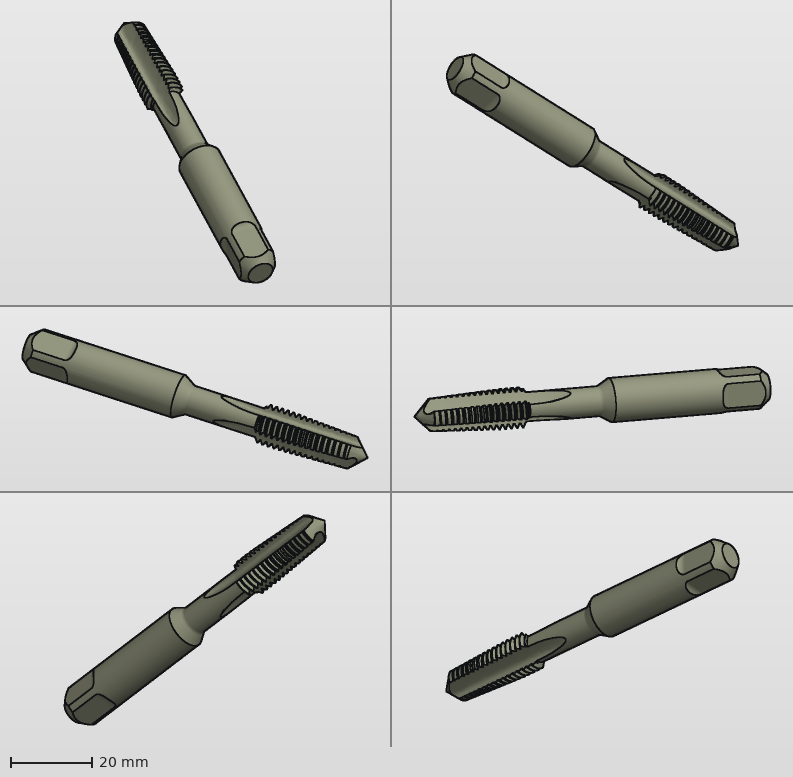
import cadquery as cq
import math

length = 90.0

point_radius = 4.1
lead_end = 22.05
thread_radius = 5.0
thread_end = 27.7
thread_back = 28.6

thread_root_radius = 4.05
three_pitches = 4.5
thread_pitch = three_pitches / 3
root_flat = 0.2
flank_angle = 30.0
groove_clearance = 0.2
groove_start = 3.9
groove_turn_count = 17
groove_start_angle = 132
groove_turn_angle = 325

neck_radius = 7.5 / 2
shank_radius = 11.0 / 2
neck_end = 47.0
shank_start = 49.95
neck_fillet = 1.1

square_side_count = 4
square_half = 4.5
square_start = 79.0
square_runout_radius = 2.2
end_chamfer_length = 2.8
end_chamfer_depth = 2.25

flute_count = 3
flute_wall_top = (1.1, 5.0)
flute_wall = [(0.45, 3.8), (-0.4, 2.7), (-1.4, 1.5)]
flute_floor = (-2.3, 1.2)
flute_heel = (-3.3, 1.8)
flute_heel_top = (-4.3, 3.6)
flute_height = 7.2
flute_straight_end = 29.9
flute_end = 39.0
flute_rise = 1.8
runout_overrun = 1.3

cutter_overrun = 0.9
search_half = 0.1


def make_blank():
    """Turned body with a 45 degree point, tapered lead, thread crest, neck and shank."""
    outline = [
        (0, 0),
        (point_radius, point_radius),
        (lead_end, thread_radius),
        (thread_end, thread_radius),
        (thread_back, neck_radius),
        (neck_end, neck_radius),
        (shank_start, shank_radius),
        (length - end_chamfer_length, shank_radius),
        (length, shank_radius - end_chamfer_depth),
        (length, 0),
    ]
    blank = cq.Workplane("XY").polyline(outline).close().revolve(360, (0, 0, 0), (1, 0, 0))
    neck_corner = cq.selectors.BoxSelector(
        (neck_end - search_half, -shank_radius, -shank_radius),
        (neck_end + search_half, shank_radius, shank_radius),
    )
    return blank.edges(neck_corner).fillet(neck_fillet)


def make_groove_turn():
    """One right-hand turn of the thread groove, beginning and ending inside a flute."""
    groove_top = thread_radius + groove_clearance
    half_root = root_flat / 2
    half_top = half_root + (groove_top - thread_root_radius) * math.tan(math.radians(flank_angle))
    helix = cq.Wire.makeHelix(
        thread_pitch, thread_pitch * groove_turn_angle / 360, thread_root_radius
    )
    groove = (
        cq.Workplane("XZ")
        .polyline([
            (thread_root_radius, -half_root),
            (groove_top, -half_top),
            (groove_top, half_top),
            (thread_root_radius, half_root),
        ])
        .close()
        .sweep(cq.Workplane(helix), isFrenet=True)
    )
    laid_along_x = groove.rotate((0, 0, 0), (0, 1, 0), 90)
    return laid_along_x.rotate((0, 0, 0), (1, 0, 0), groove_start_angle + 90)


def make_flute():
    """Flute with a smooth hooked section, rising out of the neck along an arc."""
    section = (
        cq.Workplane("YZ", origin=(-cutter_overrun, 0, 0))
        .moveTo(*flute_wall_top)
        .spline([*flute_wall, flute_floor, flute_heel, flute_heel_top], includeCurrent=True)
        .lineTo(flute_heel_top[0], flute_height)
        .lineTo(flute_wall_top[0], flute_height)
        .close()
    )
    run = flute_end - flute_straight_end
    runout_radius = (run ** 2 + flute_rise ** 2) / (2 * flute_rise)
    sweep_angle = runout_overrun * math.asin(run / runout_radius)
    floor_y, floor_z = flute_floor

    def on_runout(angle):
        return (
            flute_straight_end + runout_radius * math.sin(angle),
            floor_z + runout_radius * (1 - math.cos(angle)),
        )

    path = (
        cq.Workplane("XZ", origin=(0, floor_y, 0))
        .moveTo(-cutter_overrun, floor_z)
        .lineTo(flute_straight_end, floor_z)
        .threePointArc(on_runout(sweep_angle / 2), on_runout(sweep_angle))
    )
    return section.sweep(path)


def make_square_cutter():
    """Cutter for the +Z flat of the drive, with a rounded run-out at its front."""
    depth = shank_radius - square_half
    runout = math.sqrt(2 * square_runout_radius * depth - depth ** 2)
    half_runout = math.asin(runout / square_runout_radius) / 2
    runout_middle = (
        square_start - square_runout_radius * math.sin(half_runout),
        square_half + square_runout_radius * (1 - math.cos(half_runout)),
    )
    return (
        cq.Workplane("XZ")
        .moveTo(length + cutter_overrun, square_half)
        .lineTo(square_start, square_half)
        .threePointArc(runout_middle, (square_start - runout, shank_radius))
        .lineTo(square_start - runout, shank_radius + cutter_overrun)
        .lineTo(length + cutter_overrun, shank_radius + cutter_overrun)
        .close()
        .extrude(shank_radius, both=True)
    )


def cut_around_axis(body, cutter, count):
    """Cut copies of a cutter spaced evenly around the X axis."""
    for index in range(count):
        body = body.cut(cutter.rotate((0, 0, 0), (1, 0, 0), index * 360 / count))
    return body


body = make_blank()
groove_turn = make_groove_turn()
for turn in range(groove_turn_count):
    body = body.cut(groove_turn.translate((groove_start + turn * thread_pitch, 0, 0)))
body = cut_around_axis(body, make_flute(), flute_count)
result = cut_around_axis(body, make_square_cutter(), square_side_count)